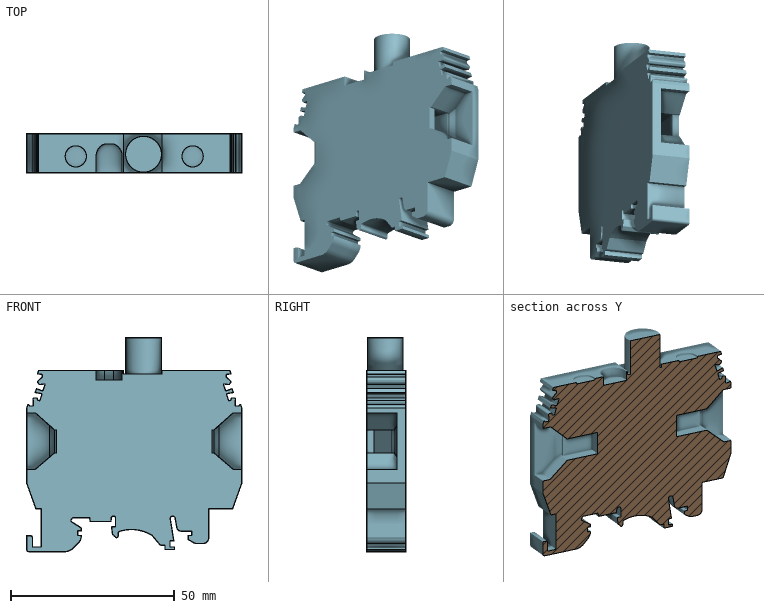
import cadquery as cq
import math

THICKNESS = 12.0
HALF_LENGTH = 33.0
TOP_Z = 55.6
OVERALL_HEIGHT = 65.6

SHOULDER_Z = 13.15
SHOULDER_HALF_LENGTH = 30.15
TAPER_TOP_Z = 21.1

BUTTON_DIAMETER = 11.0
BUTTON_X = 2.85
BUTTON_Y = 5.7
CHANNEL_START_X = -3.3
CHANNEL_END_X = 8.5
CHANNEL_DEPTH = 1.1

SCREW_DIAMETER = 6.5
SCREW_X = 17.9
SCREW_Y = 5.05
SCREW_DEPTH = 0.5

NOTCH_WIDTH = 8.0
NOTCH_X = -7.7
NOTCH_END_Y = 8.85
NOTCH_FLAT_WIDTH = 2.7
NOTCH_DEPTH = 2.9

ENTRY_BACK_Y = 9.35
ENTRY_TOP_Z = 42.5
ENTRY_BOTTOM_Z = 25.2
FUNNEL_TOP_X = 30.2
FUNNEL_BOTTOM_X = 30.4
BACK_SLANT_X = 26.0
THROAT_X = 24.4
THROAT_BACK_Y = 8.4
THROAT_TOP_Z = 37.3
THROAT_BOTTOM_Z = 30.35
THROAT_LENGTH = 0.55
WIRE_HOLE_FRONT_Y = 2.25
WIRE_HOLE_BACK_Y = 7.7
WIRE_HOLE_DEPTH = 10.0

TEETH = [
    (29.3, TOP_Z),
    (29.65, 54.5),
    (28.2, 54.3),
    (28.2, 53.6),
    (29.75, 52.1, 0.5),
    (29.1, 51.2, 0.4),
    (27.3, 51.4),
    (28.05, 49.3),
    (29.95, 50.0),
    (30.4, 48.8),
    (28.3, 48.4),
    (28.95, 46.3),
    (29.6, 46.5),
    (29.75, 47.2),
    (31.35, 47.2, 0.55),
    (30.95, 46.3),
    (30.95, 44.7, 0.3),
    (32.1, 44.7, 0.2),
    (32.55, 45.3, 0.15),
    (HALF_LENGTH, 44.0),
]

RIGHT_FOOT = [
    (HALF_LENGTH, TAPER_TOP_Z),
    (SHOULDER_HALF_LENGTH, SHOULDER_Z),
    (22.85, SHOULDER_Z),
    (22.85, 2.5, 1.8),
    (18.7, 2.5, 1.0),
    (16.5, 3.75),
    (16.5, 5.05),
    (17.6, 5.05),
    (17.6, 6.3),
    (13.2, 6.3, 1.4),
    (12.4, 10.85, 0.6),
    (10.95, 10.85, 0.6),
    (12.15, 3.35),
    (11.0, 3.35),
    (11.0, 1.55),
    (12.4, 1.55),
    (12.4, 0.65),
    (9.4, 0.65),
    (9.4, 2.0),
    (8.0, 2.0, 0.5),
]
ARCH_START = (5.4, 5.05)
ARCH_CROWN = (-0.9, 6.8)
ARCH_END = (-4.1, 6.35)

LEFT_FOOT = [
    (-4.9, 6.1, 0.5),
    (-4.9, 4.7, 0.3),
    (-5.5, 4.2, 0.3),
    (-6.7, 5.4, 0.4),
    (-7.0, 7.7, 0.3),
    (-5.75, 7.7),
    (-5.75, 10.9, 0.55),
    (-6.95, 10.9, 0.55),
    (-7.1, 9.25),
    (-13.5, 9.25),
    (-13.7, 10.4),
    (-18.9, 10.4, 0.5),
    (-19.6, 9.5, 0.5),
    (-16.2, 7.3, 0.2),
    (-16.2, 6.4),
    (-17.3, 6.4),
    (-17.3, 5.05),
    (-16.2, 5.05),
    (-16.2, 3.6, 3.0),
    (-19.8, 0.0, 4.0),
    (-HALF_LENGTH, 0.0, 0.8),
    (-HALF_LENGTH, 4.95),
    (-31.15, 4.95, 0.7),
    (-31.15, 1.5),
    (-28.5, 1.5, 0.3),
    (-28.5, SHOULDER_Z),
    (-SHOULDER_HALF_LENGTH, SHOULDER_Z),
    (-HALF_LENGTH, TAPER_TOP_Z),
]


def step_towards(start, target, distance):
    """Point at the given distance from start on the way to target."""
    ratio = distance / math.dist(start, target)
    x = start[0] + ratio * (target[0] - start[0])
    z = start[1] + ratio * (target[1] - start[1])
    return (x, z)


def trace(path, previous, corners, following):
    """Extend path through the corners, rounding those that carry a radius."""
    for index, corner in enumerate(corners):
        point = corner[:2]
        if len(corner) == 2:
            path = path.lineTo(*point)
            continue
        radius = corner[2]
        before = corners[index - 1][:2] if index > 0 else previous
        after = corners[index + 1][:2] if index + 1 < len(corners) else following
        ahead = step_towards(point, before, 1.0)
        behind = step_towards(point, after, 1.0)
        middle = ((ahead[0] + behind[0]) / 2, (ahead[1] + behind[1]) / 2)
        half_angle = math.asin(math.dist(ahead, behind) / 2)
        tangent_length = radius / math.tan(half_angle)
        arc_start = step_towards(point, before, tangent_length)
        arc_end = step_towards(point, after, tangent_length)
        arc_middle = step_towards(point, middle, radius / math.sin(half_angle) - radius)
        path = path.lineTo(*arc_start).threePointArc(arc_middle, arc_end)
    return path


def mirrored(corners):
    """The same corners on the opposite end, in reverse order."""
    return [(-corner[0], *corner[1:]) for corner in reversed(corners)]


def box(x_range, y_range, z_range):
    """Box spanning the given coordinate ranges."""
    sizes = [high - low for low, high in (x_range, y_range, z_range)]
    corner = (x_range[0], y_range[0], z_range[0])
    return cq.Workplane("XY").box(*sizes, centered=False).translate(corner)


def make_body():
    """Side outline extruded through the full thickness."""
    top_left = (-TEETH[0][0], TOP_Z)
    path = cq.Workplane("XZ").moveTo(*top_left)
    path = trace(path, top_left, TEETH + RIGHT_FOOT, ARCH_START)
    path = path.lineTo(*ARCH_START).threePointArc(ARCH_CROWN, ARCH_END)
    left_teeth = mirrored(TEETH)[:-1]
    path = trace(path, ARCH_END, LEFT_FOOT + left_teeth, top_left)
    return path.close().extrude(-THICKNESS)


def make_channel():
    """Cross channel around the foot of the button."""
    return box((CHANNEL_START_X, CHANNEL_END_X), (0, THICKNESS), (TOP_Z - CHANNEL_DEPTH, TOP_Z))


def make_button():
    """Button rising from the channel floor."""
    floor_z = TOP_Z - CHANNEL_DEPTH
    button = cq.Workplane("XY", origin=(BUTTON_X, BUTTON_Y, floor_z))
    return button.circle(BUTTON_DIAMETER / 2).extrude(OVERALL_HEIGHT - floor_z)


def make_screw_recesses():
    """Pair of round recesses in the top face."""
    top = cq.Workplane("XY", origin=(0, SCREW_Y, TOP_Z))
    return top.pushPoints([(-SCREW_X, 0), (SCREW_X, 0)]).circle(SCREW_DIAMETER / 2).extrude(-SCREW_DEPTH)


def make_notch():
    """Notch whose rounded end is cut off by a short flat."""
    radius = NOTCH_WIDTH / 2
    centre_y = NOTCH_END_Y - math.sqrt(radius**2 - (NOTCH_FLAT_WIDTH / 2) ** 2)
    x_range = (NOTCH_X - radius, NOTCH_X + radius)
    z_range = (TOP_Z - NOTCH_DEPTH, TOP_Z)
    round_end = cq.Workplane("XY", origin=(NOTCH_X, centre_y, z_range[0]))
    round_end = round_end.circle(radius).extrude(NOTCH_DEPTH)
    straight = box(x_range, (0, centre_y), z_range)
    return straight.union(round_end).intersect(box(x_range, (0, NOTCH_END_Y), z_range))


def make_right_entry():
    """Funnel, throat and blind wire hole at the right end."""
    throat_end_x = THROAT_X - THROAT_LENGTH
    side_outline = [
        (HALF_LENGTH, ENTRY_TOP_Z),
        (FUNNEL_TOP_X, ENTRY_TOP_Z),
        (THROAT_X, THROAT_TOP_Z),
        (throat_end_x, THROAT_TOP_Z),
        (throat_end_x, THROAT_BOTTOM_Z),
        (THROAT_X, THROAT_BOTTOM_Z),
        (FUNNEL_BOTTOM_X, ENTRY_BOTTOM_Z),
        (HALF_LENGTH, ENTRY_BOTTOM_Z),
    ]
    plan_outline = [
        (HALF_LENGTH, 0),
        (HALF_LENGTH, ENTRY_BACK_Y),
        (BACK_SLANT_X, ENTRY_BACK_Y),
        (THROAT_X, THROAT_BACK_Y),
        (throat_end_x, THROAT_BACK_Y),
        (throat_end_x, 0),
    ]
    side = cq.Workplane("XZ").polyline(side_outline).close().extrude(-THICKNESS)
    plan = cq.Workplane("XY").polyline(plan_outline).close().extrude(TOP_Z)
    wire_hole = box(
        (throat_end_x - WIRE_HOLE_DEPTH, throat_end_x),
        (WIRE_HOLE_FRONT_Y, WIRE_HOLE_BACK_Y),
        (THROAT_BOTTOM_Z, THROAT_TOP_Z),
    )
    return side.intersect(plan).union(wire_hole)


right_entry = make_right_entry()
left_entry = right_entry.mirror("YZ")

body = make_body().cut(make_channel()).cut(make_screw_recesses()).cut(make_notch())
body = body.cut(right_entry).cut(left_entry)
result = body.union(make_button())